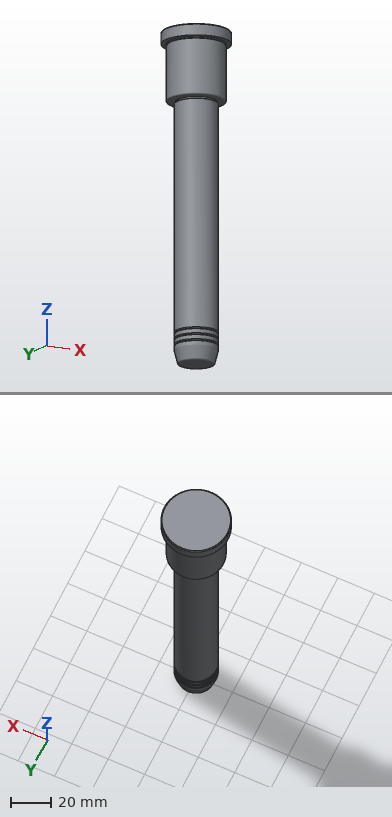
import cadquery as cq
import math

total_length = 171.0
head_diameter = 35.0
head_height = 6.0
head_chamfer = 0.5
collar_diameter = 30.0
collar_bottom_depth = 35.7
collar_round = 0.7
shaft_diameter = 22.0

head_relief_depth = 0.5
shaft_relief_width = 1.0
shaft_relief_depth = 0.7

ring_count = 3
ring_depth = 0.5
ring_pitch = 3.0
lowest_ring_z = 9.7

tip_length = 7.0
tip_half_angle = 15.0
tip_round = 1.0

head_bottom_z = total_length - head_height
collar_bottom_z = total_length - collar_bottom_depth


def cylinder(diameter, bottom_z, top_z):
    """Solid cylinder on the Z axis between two heights."""
    return cq.Workplane("XY").workplane(offset=bottom_z).circle(diameter / 2).extrude(top_z - bottom_z)


def step_cutter(diameter, depth, bottom_z, width):
    """Square-section ring that cuts a groove of the given depth into a cylinder."""
    outer = cylinder(diameter + 2 * depth, bottom_z, bottom_z + width)
    return outer.cut(cylinder(diameter - 2 * depth, bottom_z, bottom_z + width))


def vee_cutter(diameter, depth, center_z):
    """Ring that cuts a 90 degree V groove into a cylinder."""
    section = cq.Workplane("XZ").center(diameter / 2, center_z).polygon(4, 2 * depth)
    return section.revolve(360, (-diameter / 2, 0, 0), (-diameter / 2, 1, 0))


def make_tip():
    """Tapered lead-in with a rounded end."""
    shaft_radius = shaft_diameter / 2
    end_radius = shaft_radius - tip_length * math.tan(math.radians(tip_half_angle))
    profile = (
        cq.Workplane("XZ")
        .moveTo(0, 0)
        .lineTo(end_radius, 0)
        .lineTo(shaft_radius, tip_length)
        .lineTo(0, tip_length)
        .close()
    )
    return profile.revolve(360, (0, 0, 0), (0, 1, 0)).faces("<Z").edges().fillet(tip_round)


def make_shaft():
    """Shaft with its ring grooves and the relief below the collar."""
    shaft = cylinder(shaft_diameter, tip_length, collar_bottom_z)
    for index in range(ring_count):
        ring_z = lowest_ring_z + index * ring_pitch
        shaft = shaft.cut(vee_cutter(shaft_diameter, ring_depth, ring_z))
    relief_z = collar_bottom_z - shaft_relief_width
    return shaft.cut(step_cutter(shaft_diameter, shaft_relief_depth, relief_z, shaft_relief_width))


def make_collar():
    """Collar with a rounded lower edge and the relief below the head."""
    collar = cylinder(collar_diameter, collar_bottom_z, head_bottom_z)
    collar = collar.faces("<Z").edges().fillet(collar_round)
    relief_z = head_bottom_z - head_relief_depth
    return collar.cut(vee_cutter(collar_diameter, head_relief_depth, relief_z))


head = cylinder(head_diameter, head_bottom_z, total_length).faces(">Z").edges().chamfer(head_chamfer)

result = make_tip().union(make_shaft()).union(make_collar()).union(head)